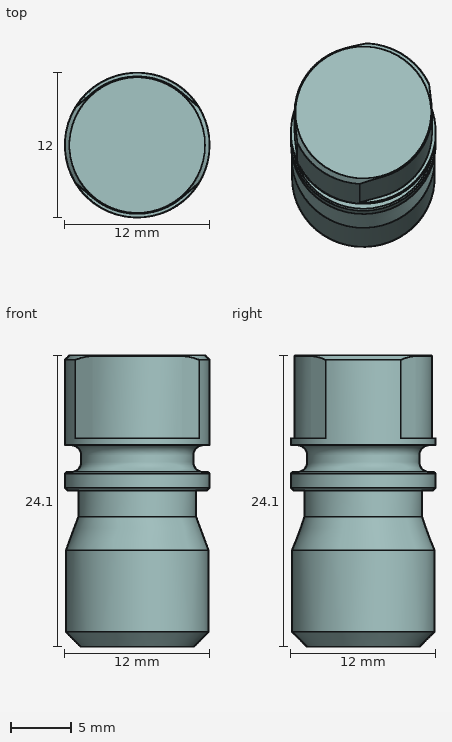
import cadquery as cq
import math

collar_radius = 12.0 / 2
groove_radius = 9.31 / 2
neck_radius = 9.75 / 2
plug_radius = 11.82 / 2
relief_radius = 5.7

total_height = 24.13
plug_top = 7.99
neck_bottom = 10.79
collar_bottom = 12.93
collar_top = 14.48
head_bottom = 16.67
relief_floor = 17.28

plug_chamfer = 1.25
collar_bottom_chamfer = 0.25
collar_top_chamfer = 0.15
head_bottom_chamfer = 0.07
head_top_chamfer = 0.39
groove_fillet = 0.8

flat_angle = math.radians(49.5)


def turned_body():
    """Revolved plug, neck, collar, rounded groove and head."""
    fillet_end = groove_radius + groove_fillet
    arc_reach = groove_fillet * math.sqrt(0.5)
    arc_mid = fillet_end - arc_reach
    lower_center = collar_top + groove_fillet
    upper_center = head_bottom - groove_fillet
    profile = (
        cq.Workplane("XZ")
        .moveTo(0, 0)
        .lineTo(plug_radius - plug_chamfer, 0)
        .lineTo(plug_radius, plug_chamfer)
        .lineTo(plug_radius, plug_top)
        .lineTo(neck_radius, neck_bottom)
        .lineTo(neck_radius, collar_bottom)
        .lineTo(collar_radius - collar_bottom_chamfer, collar_bottom)
        .lineTo(collar_radius, collar_bottom + collar_bottom_chamfer)
        .lineTo(collar_radius, collar_top - collar_top_chamfer)
        .lineTo(collar_radius - collar_top_chamfer, collar_top)
        .lineTo(fillet_end, collar_top)
        .threePointArc((arc_mid, lower_center - arc_reach), (groove_radius, lower_center))
        .lineTo(groove_radius, upper_center)
        .threePointArc((arc_mid, upper_center + arc_reach), (fillet_end, head_bottom))
        .lineTo(collar_radius - head_bottom_chamfer, head_bottom)
        .lineTo(collar_radius, head_bottom + head_bottom_chamfer)
        .lineTo(collar_radius, total_height - head_top_chamfer)
        .lineTo(collar_radius - head_top_chamfer, total_height)
        .lineTo(0, total_height)
        .close()
    )
    return profile.revolve(360, (0, 0, 0), (0, 1, 0))


def head_relief():
    """Ring outside the head section: a reduced circle with tangent flats running out toward +X and -X."""
    height = total_height - relief_floor
    base = cq.Workplane("XY").workplane(offset=relief_floor)
    tangent_x = relief_radius * math.cos(flat_angle)
    tangent_y = relief_radius * math.sin(flat_angle)
    apex_x = relief_radius / math.cos(flat_angle)

    kept = base.circle(relief_radius).extrude(height)
    for side in (1, -1):
        lobe = [(0, 0), (side * tangent_x, tangent_y), (side * apex_x, 0), (side * tangent_x, -tangent_y)]
        kept = kept.union(base.polyline(lobe).close().extrude(height))
    blank = base.circle(apex_x).extrude(height)
    return blank.cut(kept)


result = turned_body().cut(head_relief())